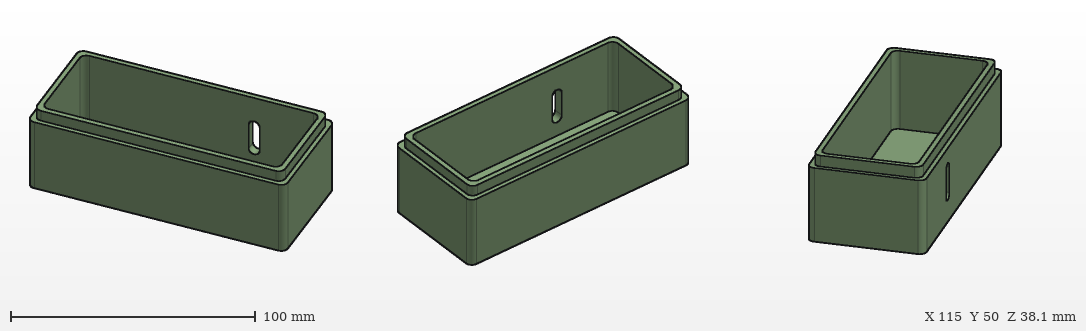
import cadquery as cq

length = 115.0
width = 50.0
height = 38.1
corner_radius = 3.0

lip_height = 5.0
lip_inset = 2.1

wall = 4.5
floor_thickness = 3.0

slot_x = 23.6
slot_width = 5.0
slot_height = 16.5
slot_center_z = 18.0


def rounded_block(inset, bottom, top):
    """Upright block with rounded corners, set in from the body sides."""
    return (
        cq.Workplane("XY")
        .workplane(offset=bottom)
        .rect(length - 2 * inset, width - 2 * inset)
        .extrude(top - bottom)
        .edges("|Z")
        .fillet(corner_radius)
    )


def mounting_slot():
    """Cutter for the slot, starting in the cavity and leaving through the +Y side."""
    return (
        cq.Workplane("XZ", origin=(slot_x, width / 2, slot_center_z))
        .slot2D(slot_height, slot_width, angle=90)
        .extrude(2 * wall)
    )


body = rounded_block(0, 0, height - lip_height)
lip = rounded_block(lip_inset, floor_thickness, height)
cavity = rounded_block(wall, floor_thickness, height)
result = body.union(lip).cut(cavity).cut(mounting_slot())